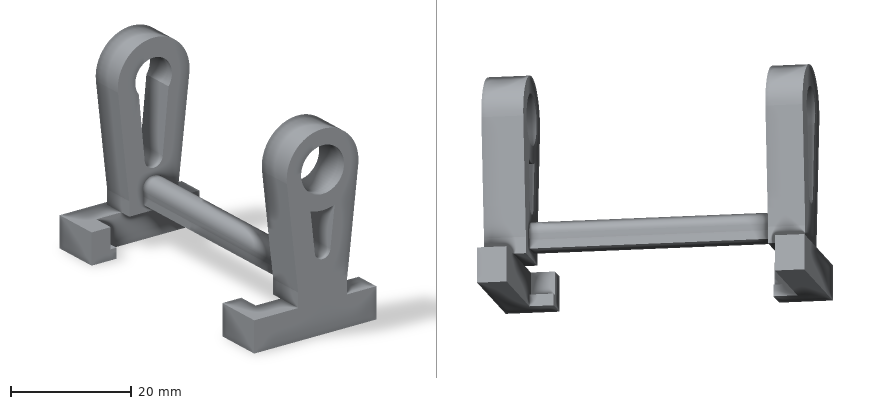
import math

import cadquery as cq

overall_length = 55.4
base_height = 6.0

foot_back_y = 11.0
foot_front_y = -14.0
foot_rail_width = 5.0
foot_toe_length = 9.1
foot_toe_depth = 3.9
toe_lip_depth = 1.2
toe_lip_height = 2.0

left_upright_inset = 1.0
left_upright_thickness = 6.3
right_upright_thickness = 7.1
eye_center_z = 29.75
eye_outer_radius = 7.35
neck_half_width = 5.0
neck_top_z = 8.8
waist_half_width = 5.63
waist_z = 14.1

left_bore_radius = 3.75
right_bore_radius = 4.4
left_slot_end_radius = 1.85
right_slot_end_radius = 1.6
slot_bottom_z = 13.6
slot_top_half_width = 3.25
slot_top_z = eye_center_z

bar_bottom_z = 7.4
bar_top_z = 12.2
bar_half_width = 2.05
bar_taper_start_z = 8.9
bar_flare_per_height = 0.115
bar_fillet_radius = 2.0

left_x = -overall_length / 2
right_x = overall_length / 2
left_upright_x = left_x + left_upright_inset
right_upright_x = right_x - right_upright_thickness


def tangent_point(center_z, radius, point_y, point_z):
    """Point (y, z) where a line from a point above or below touches the +Y side of a circle at Y = 0."""
    rise = point_z - center_z
    spread = math.acos(radius / math.hypot(point_y, rise))
    angle = math.atan2(rise, point_y) - math.copysign(spread, rise)
    return radius * math.cos(angle), center_z + radius * math.sin(angle)


def cylinder_along_x(x, length, center_z, radius):
    return cq.Workplane("YZ", origin=(x, 0, center_z)).circle(radius).extrude(length)


def make_foot(outer_x, inward):
    """L-shaped foot; inward is +1 or -1, the X direction of its toe."""
    rail_x = outer_x + inward * foot_rail_width
    toe_x = outer_x + inward * foot_toe_length
    toe_back_y = foot_front_y + foot_toe_depth
    foot = (
        cq.Workplane("XY")
        .moveTo(outer_x, foot_front_y)
        .lineTo(toe_x, foot_front_y)
        .lineTo(toe_x, toe_back_y)
        .lineTo(rail_x, toe_back_y)
        .lineTo(rail_x, foot_back_y)
        .lineTo(outer_x, foot_back_y)
        .close()
        .extrude(base_height)
    )
    lip = (
        cq.Workplane("XY")
        .moveTo(rail_x, toe_back_y)
        .lineTo(toe_x, toe_back_y)
        .lineTo(toe_x, toe_back_y + toe_lip_depth)
        .lineTo(rail_x, toe_back_y + toe_lip_depth)
        .close()
        .extrude(toe_lip_height)
    )
    return foot.union(lip)


def make_upright_blank(x, thickness):
    """Upright with a straight neck, flared sides and a round eye on top."""
    side_y, side_z = tangent_point(eye_center_z, eye_outer_radius, waist_half_width, waist_z)
    return (
        cq.Workplane("YZ", origin=(x, 0, 0))
        .moveTo(neck_half_width, base_height)
        .lineTo(neck_half_width, neck_top_z)
        .lineTo(waist_half_width, waist_z)
        .lineTo(side_y, side_z)
        .threePointArc((0, eye_center_z + eye_outer_radius), (-side_y, side_z))
        .lineTo(-waist_half_width, waist_z)
        .lineTo(-neck_half_width, neck_top_z)
        .lineTo(-neck_half_width, base_height)
        .close()
        .extrude(thickness)
    )


def make_slot(x, thickness, end_radius):
    """Slot with a round bottom whose sides flare upward into the eye."""
    end_center_z = slot_bottom_z + end_radius
    contact_y, contact_z = tangent_point(end_center_z, end_radius, slot_top_half_width, slot_top_z)
    return (
        cq.Workplane("YZ", origin=(x, 0, 0))
        .moveTo(slot_top_half_width, slot_top_z)
        .lineTo(contact_y, contact_z)
        .threePointArc((0, slot_bottom_z), (-contact_y, contact_z))
        .lineTo(-slot_top_half_width, slot_top_z)
        .close()
        .extrude(thickness)
    )


def make_left_upright():
    """Keyhole upright: the slot runs into the bore."""
    placement = (left_upright_x, left_upright_thickness)
    bore = cylinder_along_x(*placement, eye_center_z, left_bore_radius)
    return make_upright_blank(*placement).cut(make_slot(*placement, left_slot_end_radius)).cut(bore)


def make_right_upright():
    """Upright whose full ring around the bore closes the top of the slot."""
    placement = (right_upright_x, right_upright_thickness)
    ring = cylinder_along_x(*placement, eye_center_z, eye_outer_radius)
    bore = cylinder_along_x(*placement, eye_center_z, right_bore_radius)
    window = make_slot(*placement, right_slot_end_radius).cut(ring)
    return make_upright_blank(*placement).cut(window).cut(bore)


def make_tie_bar():
    """Bar along X with upright lower sides, a slight flare and a rounded top."""
    start_x = left_upright_x + left_upright_thickness
    top_half_width = bar_half_width + bar_flare_per_height * (bar_top_z - bar_taper_start_z)
    return (
        cq.Workplane("YZ", origin=(start_x, 0, 0))
        .moveTo(bar_half_width, bar_bottom_z)
        .lineTo(bar_half_width, bar_taper_start_z)
        .lineTo(top_half_width, bar_top_z)
        .lineTo(-top_half_width, bar_top_z)
        .lineTo(-bar_half_width, bar_taper_start_z)
        .lineTo(-bar_half_width, bar_bottom_z)
        .close()
        .extrude(right_upright_x - start_x)
        .edges("|X and >Z")
        .fillet(bar_fillet_radius)
    )


result = (
    make_foot(left_x, 1)
    .union(make_foot(right_x, -1))
    .union(make_left_upright())
    .union(make_right_upright())
    .union(make_tie_bar())
)